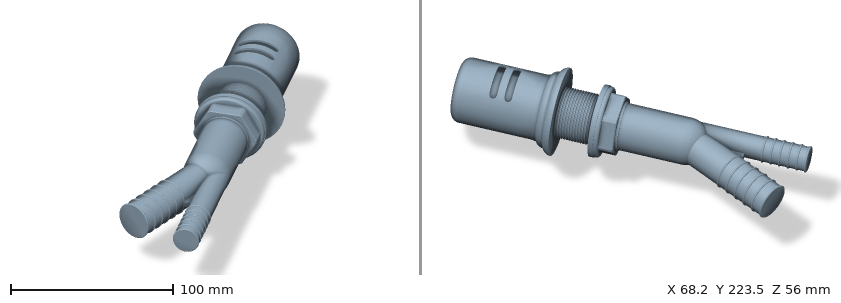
import cadquery as cq
import math


cap_diameter = 41.4
cap_radius = cap_diameter / 2
cap_edge_fillet = 5.8
cap_skirt_y = 52.0
shoulder_radius = 21.2
shoulder_y = 55.7
bump_radius = 24.4
bump_y = 61.0
bump_arc_radius = 5.8
flange_step_radius = 24.8
flange_radius = 28.0
flange_y = 66.2
flange_arc_radius = 5.8

slot_length = 25.5
slot_width = 5.0
slot_depths_y = (26.0, 35.5)

core_radius = 15.9
core_top_y = 22.4
cap_wall = 1.3
cavity_top_y = cap_edge_fillet
cavity_end_y = cap_skirt_y

thread_radius = 16.0
thread_depth = 1.0
thread_pitch = 1.75
thread_flat = 0.5

washer_diameter = 45.8
washer_y = 89.9
gasket_radius = 22.4
gasket_y = 93.0
gasket_fillet = 1.5
nut_y = 96.0
nut_end_y = 105.0
nut_across_flats = 36.0
nut_across_corners = 40.5
nut_sides = 6
nut_half_angle = 180 / nut_sides
nut_chamfer = 0.5
collar_radius = 15.7
collar_end_y = 106.6

body_diameter = 29.7
body_radius = body_diameter / 2
body_straight_y = 147.0
body_end_fillet = 13.9

straight_diameter = 15.5
straight_radius = straight_diameter / 2
straight_end_y = 223.5
straight_bead_span = 27.7
angled_diameter = 22.1
angled_radius = angled_diameter / 2
angled_tilt = 25.0
angled_length = 70.5
angled_bead_span = 34.7
bead_count = 6
bead_height = 0.7
bead_radius = 0.7

web_thickness = 3.4
web_end_y = 184.2


def revolve_profile(profile):
    return profile.close().revolve(360, (0, 0, 0), (0, 1, 0))


def cylinder(radius, start_y, end_y):
    return cq.Workplane("XZ", origin=(0, -start_y, 0)).circle(radius).extrude(end_y - start_y)


def make_cap():
    bump = (bump_radius, -bump_y)
    flange = (flange_radius, -flange_y)
    profile = (
        cq.Workplane("XY")
        .lineTo(cap_radius - cap_edge_fillet, 0)
        .radiusArc((cap_radius, -cap_edge_fillet), cap_edge_fillet)
        .lineTo(cap_radius, -cap_skirt_y)
        .lineTo(shoulder_radius, -shoulder_y)
        .radiusArc(bump, bump_arc_radius)
        .lineTo(flange_step_radius, -bump_y)
        .radiusArc(flange, flange_arc_radius)
        .lineTo(0, -flange_y)
    )
    cap = revolve_profile(profile)
    core = cylinder(core_radius, core_top_y, flange_y)
    cavity = cylinder(cap_radius - cap_wall, cavity_top_y, cavity_end_y).cut(core)
    cap = cap.cut(cavity)
    for slot_y in slot_depths_y:
        slot = (
            cq.Workplane("XY", origin=(0, -slot_y, 0))
            .slot2D(slot_length, slot_width)
            .extrude(cap_radius)
        )
        cap = cap.cut(slot.cut(core))
    return cap


def make_thread():
    """Stack of trapezoidal ridges from the flange into the washer."""
    root_radius = thread_radius - thread_depth
    flank = (thread_pitch - 2 * thread_flat) / 2
    ridge_count = math.ceil((washer_y - flange_y) / thread_pitch)
    profile = cq.Workplane("XY").moveTo(0, -flange_y).lineTo(root_radius, -flange_y)
    for index in range(ridge_count):
        y = -flange_y - index * thread_pitch
        profile = (
            profile.lineTo(thread_radius, y - flank)
            .lineTo(thread_radius, y - flank - thread_flat)
            .lineTo(root_radius, y - 2 * flank - thread_flat)
            .lineTo(root_radius, y - thread_pitch)
        )
    return revolve_profile(profile.lineTo(0, -flange_y - ridge_count * thread_pitch))


def make_nut():
    washer = cylinder(washer_diameter / 2, washer_y, gasket_y)
    gasket = cylinder(gasket_radius, gasket_y, nut_y).faces("<Y").edges().fillet(gasket_fillet)

    flats_to_corners = 1 / math.cos(math.radians(nut_half_angle))
    height = nut_end_y - nut_y
    base = cq.Workplane("XZ", origin=(0, -nut_y, 0))
    turned = base.transformed(rotate=(0, 0, nut_half_angle))
    trim = turned.polygon(nut_sides, nut_across_corners * flats_to_corners).extrude(height)
    nut = base.polygon(nut_sides, nut_across_flats * flats_to_corners).extrude(height)
    nut = nut.intersect(trim)
    nut = nut.faces("<Y").edges().chamfer(nut_chamfer)
    collar = cylinder(collar_radius, nut_end_y, collar_end_y)
    return washer.union(gasket).union(nut).union(collar)


def make_body():
    body = cylinder(body_radius, washer_y, body_straight_y + body_end_fillet)
    return body.faces("<Y").edges().fillet(body_end_fillet)


def make_branch(radius, length, bead_span):
    """Hose branch running along -Y from the origin, with rounded beads up to its end."""
    bead_pitch = bead_span / (bead_count - 1)
    profile = cq.Workplane("XY").lineTo(radius, 0)
    for index in reversed(range(bead_count)):
        bead_y = -length + bead_radius + index * bead_pitch
        profile = (
            profile.lineTo(radius, bead_y + bead_radius)
            .threePointArc((radius + bead_height, bead_y), (radius, bead_y - bead_radius))
        )
    return revolve_profile(profile.lineTo(0, -length))


def make_branches():
    straight = make_branch(straight_radius, straight_end_y - body_straight_y, straight_bead_span)
    straight = straight.translate((body_radius - straight_radius, 0, 0))
    angled = make_branch(angled_radius, angled_length, angled_bead_span)
    angled = angled.rotate((0, 0, 0), (0, 0, 1), -angled_tilt)
    return straight.union(angled).translate((0, -body_straight_y, 0))


def make_web():
    web_length = web_end_y - body_straight_y
    straight_axis_x = body_radius - straight_radius
    angled_axis_x = -web_length * math.tan(math.radians(angled_tilt))
    return (
        cq.Workplane("XY", origin=(0, -body_straight_y, -web_thickness / 2))
        .polyline(
            [
                (0, 0),
                (straight_axis_x, 0),
                (straight_axis_x, -web_length),
                (angled_axis_x, -web_length),
            ]
        )
        .close()
        .extrude(web_thickness)
    )


result = make_cap()
for piece in (make_thread(), make_nut(), make_body(), make_branches(), make_web()):
    result = result.union(piece)